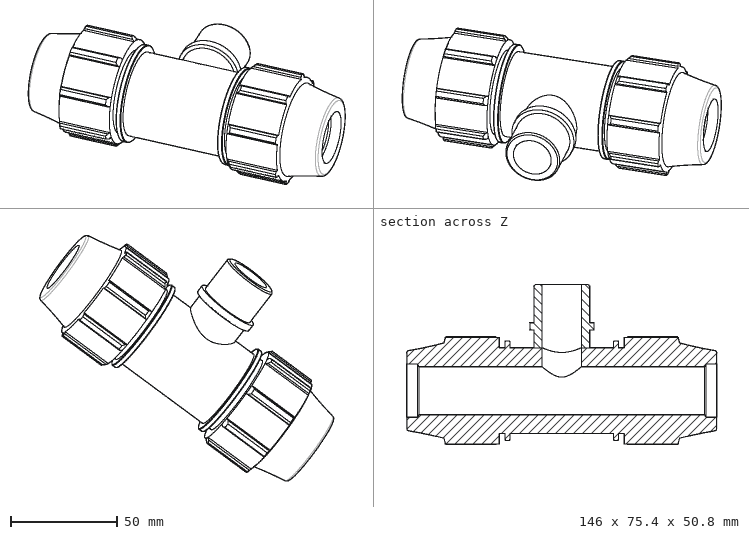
import cadquery as cq
overall_length = 146.0
half_length = overall_length / 2

run_radius = 40.5 / 2
through_bore_radius = 22.5 / 2
socket_radius = 25.0 / 2
socket_depth = 5.0
socket_taper_length = 0.8

flange_radius = 46.98 / 2
flange_width = 2.4
flange_center = 25.55
flange_edge_chamfer = 0.3

nut_radius = 25.15
nut_inner_end = 29.4
nut_outer_end = 55.5
nose_base_radius = 22.5
nose_tip_radius = 18.8
nose_sag = 0.25
nose_edge_fillet = 1.15

rib_count = 8
rib_tip_radius = 27.0
rib_half_width = 2.25
rib_edge_bevel = 1.0
rib_inner_bevel = rib_tip_radius - nut_radius
rib_root_radius = nut_radius - 1.0
nut_shoulder_slope = 0.25

branch_radius = 26.44 / 2
branch_bore_radius = 18.51 / 2
branch_end = 50.0
branch_end_chamfer = 0.8
collar_radius = 30.41 / 2
collar_outer_end = 32.0
collar_width = 3.5


def cylinder_x(radius, x_start, x_end):
    """Solid cylinder on the X axis."""
    return cq.Workplane("YZ").workplane(offset=x_start).circle(radius).extrude(x_end - x_start)


def cylinder_y(radius, y_start, y_end):
    """Solid cylinder on the Y axis."""
    return cq.Workplane("XZ").workplane(offset=-y_start).circle(radius).extrude(y_start - y_end)


def shoulder_x(radius):
    """X of the conical outer shoulder of the nut at the given radius."""
    return nut_outer_end - nut_shoulder_slope * (radius - nose_base_radius)


def revolve_about_x(profile):
    return profile.close().revolve(360, (0, 0, 0), (1, 0, 0))


def nut_envelope():
    """Turned limit of the nut: bevelled rib ends inside, one shoulder cone outside."""
    profile = (
        cq.Workplane("XY")
        .moveTo(nut_inner_end, 0)
        .lineTo(nut_inner_end, nut_radius)
        .lineTo(nut_inner_end + rib_inner_bevel, rib_tip_radius)
        .lineTo(shoulder_x(rib_tip_radius), rib_tip_radius)
        .lineTo(nut_outer_end, nose_base_radius)
        .lineTo(nut_outer_end, 0)
    )
    return revolve_about_x(profile)


def rib_bar():
    """One full-length grip rib on the +Z side, with its two long edges bevelled."""
    return (
        cq.Workplane("YZ")
        .workplane(offset=nut_inner_end)
        .moveTo(-rib_half_width, rib_root_radius)
        .lineTo(-rib_half_width, rib_tip_radius - rib_edge_bevel)
        .lineTo(rib_edge_bevel - rib_half_width, rib_tip_radius)
        .lineTo(rib_half_width - rib_edge_bevel, rib_tip_radius)
        .lineTo(rib_half_width, rib_tip_radius - rib_edge_bevel)
        .lineTo(rib_half_width, rib_root_radius)
        .close()
        .extrude(nut_outer_end - nut_inner_end)
    )


def nut():
    """Round nut whose evenly spaced ribs straddle the Y and Z axes."""
    pitch = 360 / rib_count
    ribbed = cylinder_x(nut_radius, nut_inner_end, nut_outer_end)
    for i in range(rib_count):
        ribbed = ribbed.union(rib_bar().rotate((0, 0, 0), (1, 0, 0), (i + 0.5) * pitch))
    return ribbed.intersect(nut_envelope())


def nose():
    """Slightly concave taper from the nut shoulder to the rounded tip."""
    middle_x = (nut_outer_end + half_length) / 2
    middle_radius = (nose_base_radius + nose_tip_radius) / 2 - nose_sag
    profile = (
        cq.Workplane("XY")
        .moveTo(nut_outer_end, 0)
        .lineTo(nut_outer_end, nose_base_radius)
        .threePointArc((middle_x, middle_radius), (half_length, nose_tip_radius))
        .lineTo(half_length, 0)
    )
    return revolve_about_x(profile).faces(">X").edges().fillet(nose_edge_fillet)


def run_end():
    """Half of the run: barrel, flange, nut and nose on the +X side."""
    flange_start = flange_center - flange_width / 2
    flange = cylinder_x(flange_radius, flange_start, flange_start + flange_width)
    flange = flange.edges().chamfer(flange_edge_chamfer)
    barrel = cylinder_x(run_radius, 0, nut_inner_end)
    return barrel.union(flange).union(nut()).union(nose())


def socket():
    """Pipe socket at the +X end, tapering down to the through bore."""
    taper_start = half_length - socket_depth
    profile = (
        cq.Workplane("XY")
        .moveTo(half_length, 0)
        .lineTo(half_length, socket_radius)
        .lineTo(taper_start, socket_radius)
        .lineTo(taper_start - socket_taper_length, through_bore_radius)
        .lineTo(taper_start - socket_taper_length, 0)
    )
    return revolve_about_x(profile)


def make_run():
    """Straight run with a ribbed nut at each end and a port for the branch."""
    end = run_end()
    run = end.union(end.mirror("YZ"))
    run = run.cut(cylinder_x(through_bore_radius, -half_length, half_length))
    run = run.cut(socket()).cut(socket().mirror("YZ"))
    return run.cut(cylinder_y(branch_bore_radius, 0, run_radius))


def make_branch():
    """Collared outlet spigot saddled onto the outside of the run."""
    spigot = cylinder_y(branch_radius, 0, branch_end).faces(">Y").chamfer(branch_end_chamfer)
    collar = cylinder_y(collar_radius, collar_outer_end - collar_width, collar_outer_end)
    bore = cylinder_y(branch_bore_radius, 0, branch_end)
    saddle = cylinder_x(run_radius, -half_length, half_length)
    return spigot.union(collar).cut(bore).cut(saddle)


run_body = make_run()
branch = make_branch()

result = cq.Compound.makeCompound([run_body.val(), branch.val()])